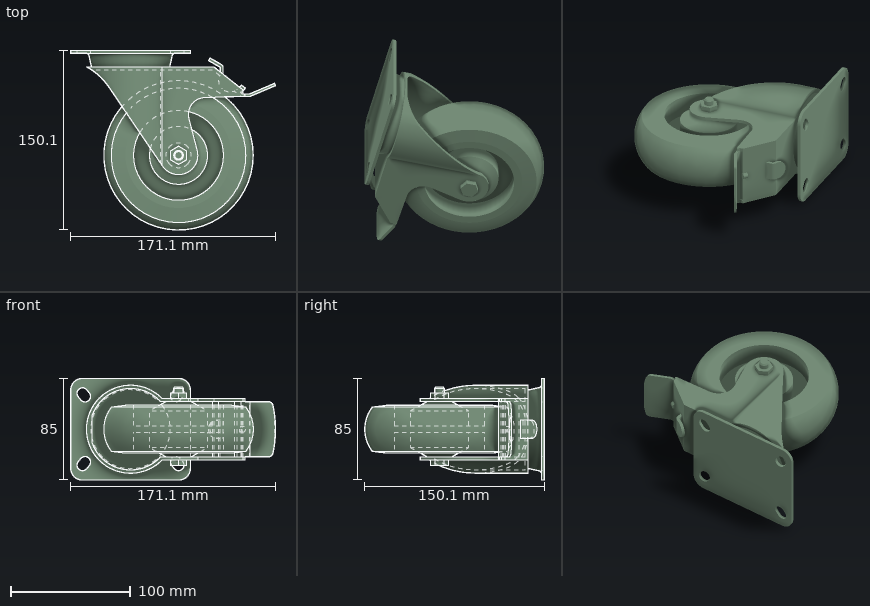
import cadquery as cq
import math


overall_length = 171.1
sheet = 2.7

plate_length = 100.1
plate_width = 85.0
plate_thickness = 2.5
plate_corner_radius = 10.0
plate_outer_y = 87.6
slot_width = 9.0
slot_outer_end = (40.0, 30.0)
slot_inner_end = (38.0, 27.4)

race_depth = 13.7
race_neck_depth = 12.7
race_neck_radius = 33.0
race_top_radius = 34.7
race_flare = 2.4

axle_x = 40.0
wheel_radius = 62.5
shoulder_radius = 56.1
shoulder_half_width = 18.5
rim_outer_radius = 44.1
rim_half_width = 20.0
recess_radius = 75.0 / 2
web_half_width = 2.7
hub_radius = 48.5 / 2
hub_edge_half_width = 15.4
hub_tip_radius = 10.5

fork_top = plate_outer_y - race_depth
fork_radius = 73.5 / 2
leg_outer = 25.8
leg_inner = leg_outer - sheet
leg_end_radius = 16.0
front_edge_angle = 34.2
rear_edge_angle = 14.5
front_arc_start_y = 57.1
leg_bottom_y = 48.3
arm_arc_radius = 14.0
slope_start = (69.5, fork_top)
slope_end = (94.0, 54.5)
arm_tip = [(94.0, 51.7), (95.6, 50.0), (94.0, 49.1)]

nut_flats = 13.2
nut_height = 4.5
bolt_diameter = 8.0
bolt_tip_z = 35.5
bolt_chamfer = 0.9
bolt_chamfer_length = 1.4

curl_center = (83.0, 62.3)
curl_radius = 9.4
arm_length = 10.3
lever_thickness = 2.2
lever_underside_y = 49.1
lever_bend_front_x = 92.2
lever_bend_rear_x = 99.8
pedal_tip_x = overall_length - plate_length / 2
pedal_angle = 23
pedal_end_bow = 2.9
pedal_corner_radius = 4.1

hook_x = 77.3
hook_thickness = 2.5
hook_width = 15.0
hook_bend_y = 75.0
hook_straight = 5.1
hook_angle = 150
hook_bend_radius = 3.0

lug_position = 29.6
lug_length = 4.1
lug_radius = 2.4

slope_angle = math.atan2(slope_end[1] - slope_start[1], slope_end[0] - slope_start[0])


def step(point, angle, distance):
    """Point reached from another by going a distance at an angle in radians."""
    return (point[0] + distance * math.cos(angle), point[1] + distance * math.sin(angle))


def slab(points, half_width):
    """Closed outline in XY, extruded equally to both sides of Z = 0."""
    return cq.Workplane("XY").polyline(points).close().extrude(half_width, both=True)


def make_plate():
    """Mounting plate with four diagonal slots."""
    plate = (
        cq.Workplane("XZ", origin=(0, plate_outer_y, 0))
        .rect(plate_length, plate_width)
        .extrude(plate_thickness)
        .edges("|Y")
        .fillet(plate_corner_radius)
    )
    run_x = slot_outer_end[0] - slot_inner_end[0]
    run_z = slot_outer_end[1] - slot_inner_end[1]
    center_x = (slot_outer_end[0] + slot_inner_end[0]) / 2
    center_z = (slot_outer_end[1] + slot_inner_end[1]) / 2
    angle = math.degrees(math.atan2(run_z, run_x))
    for side_x in (-1, 1):
        for side_z in (-1, 1):
            slot = (
                cq.Workplane("XZ", origin=(0, plate_outer_y, 0))
                .center(side_x * center_x, side_z * center_z)
                .slot2D(math.hypot(run_x, run_z) + slot_width, slot_width, side_x * side_z * angle)
                .extrude(plate_thickness)
            )
            plate = plate.cut(slot)
    return plate


def make_race():
    """Tapered swivel bearing between plate and fork."""
    flare_top = plate_outer_y - plate_thickness
    flare_center = (race_top_radius + race_flare, flare_top - race_flare)
    outline = (
        cq.Workplane("XY")
        .moveTo(0, flare_top)
        .lineTo(flare_center[0], flare_top)
        .threePointArc(step(flare_center, 3 * math.pi / 4, race_flare), (race_top_radius, flare_center[1]))
        .lineTo(race_neck_radius, plate_outer_y - race_neck_depth)
        .lineTo(race_neck_radius, fork_top)
        .lineTo(0, fork_top)
        .close()
    )
    return outline.revolve(360, (0, 0), (0, 1))


def make_fork_side():
    """Side outline of the fork as a solid block across the full fork width."""
    axle = (axle_x, 0)
    rear = math.radians(rear_edge_angle)
    front = math.radians(front_edge_angle)
    rear_tangent = step(axle, rear, leg_end_radius)
    front_tangent = step(axle, math.pi + front, leg_end_radius)
    front_rise = front_arc_start_y - front_tangent[1]
    front_arc_start = (front_tangent[0] - front_rise * math.tan(front), front_arc_start_y)

    arc_y = leg_bottom_y - arm_arc_radius
    reach = leg_end_radius + arm_arc_radius
    arc_center = (axle_x + (reach - arc_y * math.sin(rear)) / math.cos(rear), arc_y)
    arc_middle = step(arc_center, (math.pi / 2 + math.pi + rear) / 2, arm_arc_radius)
    arc_end = step(arc_center, math.pi + rear, arm_arc_radius)

    outline = (
        cq.Workplane("XY")
        .moveTo(-fork_radius, fork_top)
        .lineTo(*slope_start)
        .lineTo(*slope_end)
        .polyline(arm_tip, includeCurrent=True)
        .lineTo(arc_center[0], leg_bottom_y)
        .threePointArc(arc_middle, arc_end)
        .lineTo(*rear_tangent)
        .threePointArc((axle_x, -leg_end_radius), front_tangent)
        .lineTo(*front_arc_start)
        .tangentArcPoint((-fork_radius, fork_top), relative=False)
        .close()
    )
    return outline.extrude(fork_radius, both=True)


def make_fork_column(radius, half_width):
    """Round head and straight tail of the fork section, extruded down from the fork top."""
    depth = fork_top + leg_end_radius
    tail_length = pedal_tip_x
    head = cq.Workplane("XZ", origin=(0, fork_top, 0)).circle(radius).extrude(depth)
    head_end_x = math.sqrt(radius**2 - half_width**2)
    keep = cq.Workplane("XY").box(2 * radius, 4 * depth, 2 * radius)
    keep = keep.translate((head_end_x - radius, 0, 0))
    tail = (
        cq.Workplane("XZ", origin=(head_end_x + tail_length / 2, fork_top, 0))
        .rect(tail_length, 2 * half_width)
        .extrude(depth)
    )
    return head.intersect(keep).union(tail)


def make_fork(fork_side):
    """Bent sheet fork: wrapped wall with two legs, and a roof that folds down at the rear."""
    solid_column = make_fork_column(fork_radius, leg_outer)
    wall = solid_column.cut(make_fork_column(fork_radius - sheet, leg_inner))
    roof_bottom = fork_top - sheet
    inner_corner_x = slope_start[0] + sheet * math.tan(slope_angle / 2)
    roof = slab(
        [
            (-fork_radius, fork_top),
            slope_start,
            slope_end,
            step(slope_end, slope_angle - math.pi / 2, sheet),
            (inner_corner_x, roof_bottom),
            (-fork_radius, roof_bottom),
        ],
        fork_radius,
    ).intersect(solid_column)
    return wall.union(roof).intersect(fork_side)


def make_wheel():
    """Wheel with crowned tyre, recessed sides and conical hub, turned about the axle."""
    half = [
        (rim_outer_radius, rim_half_width),
        (recess_radius, rim_half_width),
        (recess_radius, web_half_width),
        (hub_radius, web_half_width),
        (hub_radius, hub_edge_half_width),
        (hub_tip_radius, leg_inner),
        (0, leg_inner),
    ]
    mirrored = [(radius, -z) for radius, z in reversed(half)]
    outline = (
        cq.Workplane("XZ")
        .moveTo(shoulder_radius, -shoulder_half_width)
        .threePointArc((wheel_radius, 0), (shoulder_radius, shoulder_half_width))
        .polyline(half + mirrored, includeCurrent=True)
        .close()
    )
    return outline.revolve(360, (0, 0), (0, 1)).translate((axle_x, 0, 0))


def make_axle():
    """Axle bolt: a hexagon outside each leg and a chamfered tip on the +Z side."""
    hex_diameter = nut_flats / math.cos(math.pi / 6)
    hex_end = leg_outer + nut_height
    bolt_radius = bolt_diameter / 2
    outline = [
        (0, -leg_outer),
        (bolt_radius, -leg_outer),
        (bolt_radius, bolt_tip_z - bolt_chamfer_length),
        (bolt_radius - bolt_chamfer, bolt_tip_z),
        (0, bolt_tip_z),
    ]
    axle = cq.Workplane("XZ").polyline(outline).close().revolve(360, (0, 0), (0, 1))
    for base_z in (leg_inner, -hex_end):
        hexagon = cq.Workplane("XY").polygon(6, hex_diameter).extrude(hex_end - leg_inner)
        axle = axle.union(hexagon.rotate((0, 0, 0), (0, 0, 1), 30).translate((0, 0, base_z)))
    return axle.translate((axle_x, 0, 0))


def thicken(face, thickness):
    """Closed outline of a bent sheet, from the corners of one face; the sheet lies to their left."""
    headings = [math.atan2(b[1] - a[1], b[0] - a[0]) for a, b in zip(face, face[1:])]
    before = headings[:1] + headings
    after = headings + headings[-1:]
    other_face = []
    for corner, heading_in, heading_out in zip(face, before, after):
        miter = thickness / math.cos((heading_out - heading_in) / 2)
        other_face.append(step(corner, (heading_in + heading_out + math.pi) / 2, miter))
    return face + other_face[::-1]


def make_lever(fork_side):
    """Brake lever: rolled bearing under the sloping roof, short arm and raised pedal."""
    curl = (
        cq.Workplane("XY")
        .center(*curl_center)
        .circle(curl_radius)
        .extrude(leg_inner, both=True)
        .intersect(fork_side)
    )
    front_bend = (lever_bend_front_x, lever_underside_y)
    rear_bend = (lever_bend_rear_x, lever_underside_y)
    arm_start = step(front_bend, slope_angle + math.pi, arm_length)
    tip_rise = (pedal_tip_x - lever_bend_rear_x) * math.tan(math.radians(pedal_angle))
    pedal_tip = (pedal_tip_x, lever_underside_y + tip_rise)
    arm = slab(thicken([arm_start, front_bend, rear_bend, pedal_tip], lever_thickness), leg_inner)

    corner_x = pedal_tip_x - pedal_end_bow
    plan = (
        cq.Workplane("XZ", origin=(0, fork_top, 0))
        .moveTo(0, -leg_inner)
        .lineTo(corner_x, -leg_inner)
        .threePointArc((pedal_tip_x, 0), (corner_x, leg_inner))
        .lineTo(0, leg_inner)
        .close()
        .extrude(fork_top)
        .edges("|Y")
        .edges(">X")
        .fillet(pedal_corner_radius)
    )
    return curl.union(arm.intersect(plan))


def make_hook():
    """Upright tongue rising from the lever bearing, bent forward, with a round end."""
    bend = (hook_x, hook_bend_y)
    heading = math.radians(hook_angle)
    end_center = step(bend, heading, hook_straight)
    strip = slab(thicken([(hook_x, curl_center[1]), bend, end_center], hook_thickness), hook_width / 2)
    strip = strip.edges(cq.selectors.NearestToPointSelector((*bend, 0))).fillet(hook_bend_radius)
    inward = step((0, 0), heading + math.pi / 2, 1)
    end_plane = cq.Plane(origin=(*end_center, 0), xDir=(0, 0, 1), normal=(*inward, 0))
    radius = hook_width / 2
    round_end = (
        cq.Workplane(end_plane)
        .moveTo(-radius, 0)
        .threePointArc((0, radius), (radius, 0))
        .close()
        .extrude(hook_thickness)
    )
    return strip.union(round_end)


def make_lug():
    """Small half-round lug lying along the sloping roof."""
    start = step(slope_start, slope_angle, lug_position - lug_length / 2)
    direction = step((0, 0), slope_angle, 1)
    lug_plane = cq.Plane(origin=(*start, 0), xDir=(0, 0, 1), normal=(*direction, 0))
    return cq.Workplane(lug_plane).circle(lug_radius).extrude(lug_length)


fork_side = make_fork_side()
result = make_plate().union(make_race())
for part in (
    make_fork(fork_side),
    make_wheel(),
    make_axle(),
    make_lever(fork_side),
    make_hook(),
    make_lug(),
):
    result = result.union(part)